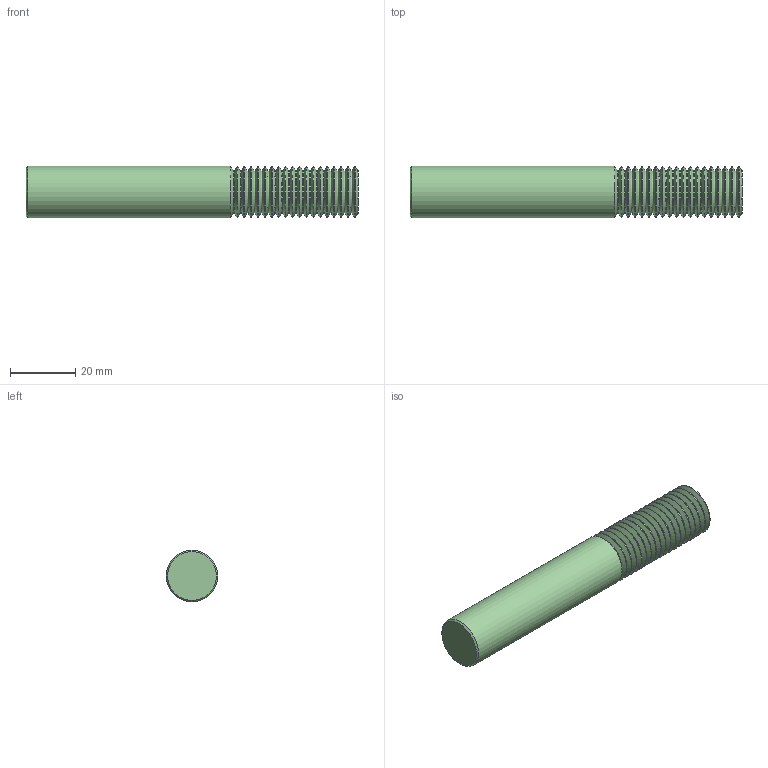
import cadquery as cq
import math

INCH = 25.4
total_length = 4.0 * INCH
diameter = 0.625 * INCH
thread_length = 39.0
threads_per_inch = 12
groove_count = 19
flank_angle = 60.0
end_chamfer = 0.5

radius = diameter / 2
pitch = INCH / threads_per_inch
flank_slope = math.tan(math.radians(flank_angle / 2))
sharp_height = pitch / 2 / flank_slope
thread_depth = 3 / 4 * sharp_height
crest_flat = pitch / 16
flank_width = thread_depth * flank_slope
root_flat = pitch - crest_flat - 2 * flank_width
root_radius = radius - thread_depth

plain_end = -total_length / 2
threaded_end = total_length / 2
shoulder = threaded_end - thread_length


def thread_outline():
    """Points (x, radius) of the ring grooves, from the shoulder to the threaded end."""
    points = []
    for groove in range(groove_count - 1):
        start = shoulder + groove * pitch
        points.append((start, radius))
        points.append((start + flank_width, root_radius))
        points.append((start + flank_width + root_flat, root_radius))
        points.append((start + pitch - crest_flat, radius))

    last_start = shoulder + (groove_count - 1) * pitch
    points.append((last_start, radius))
    points.append((last_start + flank_width, root_radius))
    points.append((threaded_end, root_radius))
    return points


def stud():
    """Revolve the half outline of the chamfered shank and the ring thread about the X axis."""
    outline = [
        (plain_end, 0),
        (plain_end, radius - end_chamfer),
        (plain_end + end_chamfer, radius),
        *thread_outline(),
        (threaded_end, 0),
    ]
    return cq.Workplane("XZ").polyline(outline).close().revolve(360, (0, 0, 0), (1, 0, 0))


result = stud()